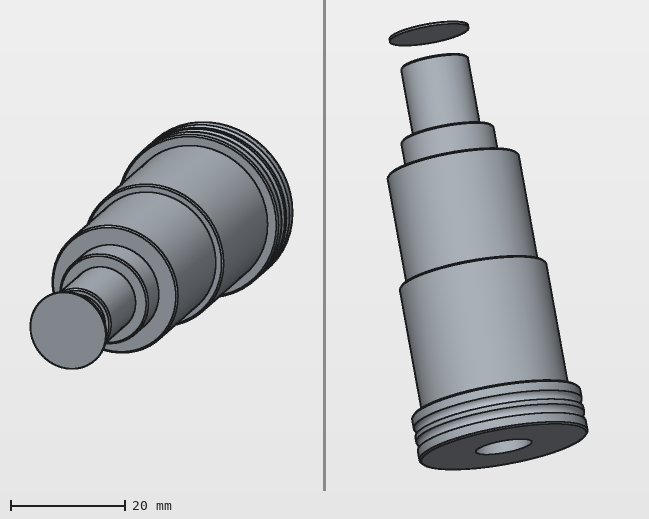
import cadquery as cq

total_length = 75.6
head_end_y = total_length / 2

head_radius = 15.01
head_length = 8.0
head_chamfer = 0.3
groove_width = 1.6
groove_depth = 0.3
groove_pitch = 2.5

wide_radius = 13.1
wide_end = 31.2
middle_radius = 11.7
middle_end = 51.25
narrow_radius = 8.25
narrow_end = 57.0
nose_radius = 6.0
nose_end = 70.1
step_chamfer = 0.3
bore_radius = 5.0

disc_radius = 7.0
disc_thickness = 0.45


def cylinder_along_y(radius, start, end):
    """Cylinder on the barrel axis between two distances from the head end."""
    plane = cq.Workplane("XZ", origin=(0, head_end_y - start, 0))
    return plane.circle(radius).extrude(end - start)


def barrel_step(radius, start, end):
    """Cylinder with a chamfered edge at its -Y end."""
    return cylinder_along_y(radius, start, end).faces("<Y").edges().chamfer(step_chamfer)


def ring_groove(center):
    """Ring with an arc-shaped floor, used to cut a groove around the head."""
    center_y = head_end_y - center
    half_width = groove_width / 2
    return (
        cq.Workplane("XY")
        .moveTo(head_radius, center_y - half_width)
        .threePointArc(
            (head_radius - groove_depth, center_y),
            (head_radius, center_y + half_width),
        )
        .lineTo(head_radius + groove_depth, center_y + half_width)
        .lineTo(head_radius + groove_depth, center_y - half_width)
        .close()
        .revolve(360, (0, 0, 0), (0, 1, 0))
    )


def make_head():
    head = cylinder_along_y(head_radius, 0, head_length)
    head = head.faces("<Y or >Y").edges().chamfer(head_chamfer)
    for side in (-1, 1):
        head = head.cut(ring_groove(head_length / 2 + side * groove_pitch / 2))
    return head


def make_barrel():
    barrel = make_head()
    step_start = head_length
    for radius, step_end in (
        (wide_radius, wide_end),
        (middle_radius, middle_end),
        (narrow_radius, narrow_end),
        (nose_radius, nose_end),
    ):
        barrel = barrel.union(barrel_step(radius, step_start, step_end))
        step_start = step_end
    return barrel.cut(cylinder_along_y(bore_radius, 0, nose_end))


def make_disc():
    return cylinder_along_y(disc_radius, total_length - disc_thickness, total_length)


barrel = make_barrel()
disc = make_disc()
result = cq.Compound.makeCompound([barrel.val(), disc.val()])